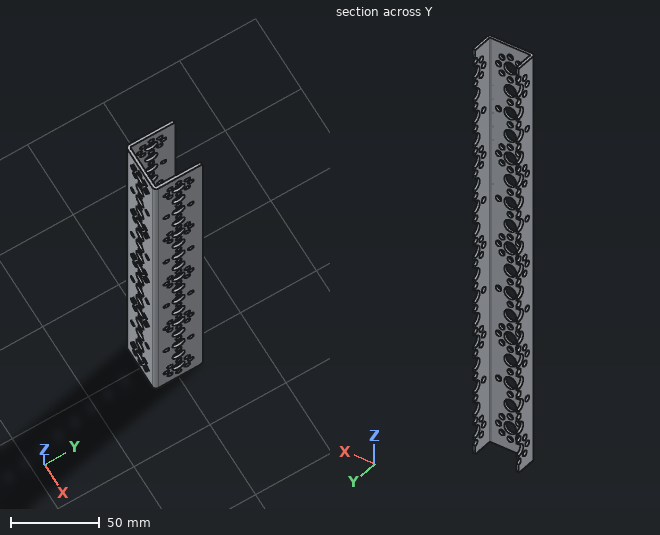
import cadquery as cq
import math

length = 288.0
width = 32.0
thickness = 2.0
bend_radius = 2.5
inner_bend_radius = bend_radius - thickness
flange_corner_radius = 2.5

pitch_count = 18
pitch = length / pitch_count
small_offset = pitch / 2
large_diameter = 8.0
small_diameter = 3.7
pair_spacing = 2
ring_spacing = 4

large_heights = [index * pitch - length / 2 for index in range(1, pitch_count)]


def make_channel():
    """Bent sheet channel with rounded free corners on both flanges."""
    outer = cq.Workplane("XY").box(width, width, length)
    outer = outer.edges("|Z and <Y").fillet(bend_radius)
    outer = outer.edges("|X and >Y").fillet(flange_corner_radius)
    cavity = cq.Workplane("XY").box(width - 2 * thickness, width, length)
    cavity = cavity.edges("|Z and <Y").fillet(inner_bend_radius)
    return outer.cut(cavity.translate((0, thickness, 0)))


def small_hole_centers():
    """Small hole centers as (offset across the face, height)."""
    centers = [(0, height - small_offset) for height in large_heights]
    centers.append((0, large_heights[-1] + small_offset))
    for height in large_heights[::pair_spacing]:
        centers += [(-small_offset, height), (small_offset, height)]
    diagonal = small_offset * math.sqrt(0.5)
    for height in large_heights[::ring_spacing]:
        centers += [(x, height + z) for x in (-diagonal, diagonal) for z in (-diagonal, diagonal)]
    return centers


def cut_hole_pattern(body, face_plane, depth):
    """Cut all holes of one face; the plane's x runs across the face and its y along Z."""
    large_centers = [(0, height) for height in large_heights]
    for diameter, centers in ((large_diameter, large_centers), (small_diameter, small_hole_centers())):
        pins = cq.Workplane(face_plane).pushPoints(centers).circle(diameter / 2).extrude(depth)
        body = body.cut(pins)
    return body


web_plane = cq.Plane(origin=(0, -width / 2, 0), xDir=(-1, 0, 0), normal=(0, 1, 0))
flange_plane = cq.Plane(origin=(-width / 2, 0, 0), xDir=(0, 1, 0), normal=(1, 0, 0))

result = make_channel()
result = cut_hole_pattern(result, web_plane, thickness)
result = cut_hole_pattern(result, flange_plane, width)